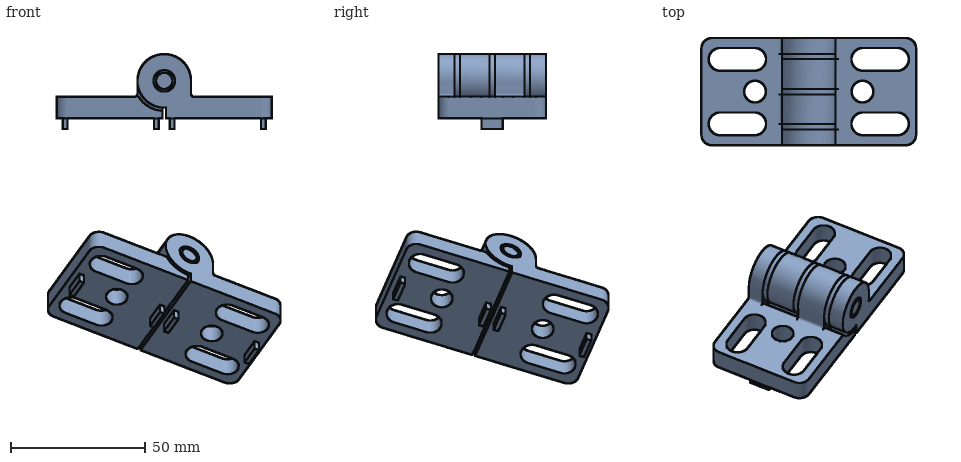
import cadquery as cq
import math

length = 80.0
width = 40.0
plate_thickness = 8.2
corner_radius = 4.0
plate_gap = 1.1

barrel_radius = 10.0
axis_z = 14.0
clearance_radius = 11.2
root_fillet = 1.0
washer_thickness = 2.0
end_knuckle_length = 5.9
mid_knuckle_length = (width - 2 * end_knuckle_length - 3 * washer_thickness) / 2

pin_radius = 4.0
pin_chamfer = 1.0

slot_length = 21.3
slot_width = 8.4
slot_x = 26.6
slot_y = 12.0
hole_radius = 4.0
hole_x = 20.0

tab_height = 4.0
tab_thickness = 1.8
tab_width = 8.0
inner_tab_x = 3.0
outer_tab_x = 36.9

front_y = -width / 2
front_knuckle_end = front_y + end_knuckle_length
middle_knuckle_start = front_knuckle_end + washer_thickness
middle_knuckle_end = middle_knuckle_start + mid_knuckle_length
far_middle_start = middle_knuckle_end + washer_thickness

knuckles = [(front_y, end_knuckle_length), (far_middle_start, mid_knuckle_length)]
washer_starts = [front_knuckle_end, middle_knuckle_end, -front_knuckle_end - washer_thickness]


def pin_axis_plane(start_y):
    """Plane across the pin axis whose extrusions run toward +Y."""
    return cq.Plane(origin=(0, start_y, axis_z), xDir=(-1, 0, 0), normal=(0, 1, 0))


def axial_cylinder(radius, start_y, cylinder_length):
    """Solid cylinder on the pin axis."""
    return cq.Workplane(pin_axis_plane(start_y)).circle(radius).extrude(cylinder_length)


def leaf_plate():
    """Flat +X plate with rounded outer corners, hollowed along the pin axis."""
    inner_x = plate_gap / 2
    plate = (
        cq.Workplane("XY")
        .box(length / 2 - inner_x, width, plate_thickness, centered=(False, True, False))
        .translate((inner_x, 0, 0))
        .edges("|Z and >X")
        .fillet(corner_radius)
    )
    return plate.cut(axial_cylinder(clearance_radius, front_y, width))


def knuckle(start_y, knuckle_length):
    """Round barrel with a flat-sided foot that flares into the plate top."""
    barrel = axial_cylinder(barrel_radius, start_y, knuckle_length)
    foot_right = barrel_radius + root_fillet
    fillet_top = plate_thickness + root_fillet
    bend_offset = root_fillet * (1 - math.sqrt(0.5))
    foot = (
        cq.Workplane("XZ", origin=(0, start_y, 0))
        .moveTo(plate_gap / 2, 0)
        .lineTo(foot_right, 0)
        .lineTo(foot_right, plate_thickness)
        .threePointArc(
            (barrel_radius + bend_offset, plate_thickness + bend_offset),
            (barrel_radius, fillet_top),
        )
        .lineTo(barrel_radius, axis_z)
        .lineTo(plate_gap / 2, axis_z)
        .close()
        .extrude(-knuckle_length)
    )
    return barrel.union(foot)


def mounting_cutters():
    """Two slots and one round hole through the +X plate."""
    slots = (
        cq.Workplane("XY")
        .pushPoints([(slot_x, -slot_y), (slot_x, slot_y)])
        .slot2D(slot_length, slot_width)
        .extrude(plate_thickness)
    )
    hole = cq.Workplane("XY").center(hole_x, 0).circle(hole_radius).extrude(plate_thickness)
    return slots.union(hole)


def locating_tabs():
    """Two rectangular tabs below the +X plate."""
    return (
        cq.Workplane("XY")
        .pushPoints([(inner_tab_x, 0), (outer_tab_x, 0)])
        .rect(tab_thickness, tab_width)
        .extrude(-tab_height)
    )


def make_leaf():
    """Complete +X leaf: plate, two knuckles, mounting holes, tabs and pin bore."""
    leaf = leaf_plate()
    for start_y, knuckle_length in knuckles:
        leaf = leaf.union(knuckle(start_y, knuckle_length))
    leaf = leaf.cut(mounting_cutters()).union(locating_tabs())
    return leaf.cut(axial_cylinder(pin_radius, front_y, width))


def make_washer(start_y):
    """Flat ring between two neighbouring knuckles."""
    ring = cq.Workplane(pin_axis_plane(start_y)).circle(barrel_radius).circle(pin_radius)
    return ring.extrude(washer_thickness)


def make_pin():
    """Full-width pin with chamfered ends."""
    return axial_cylinder(pin_radius, front_y, width).faces("<Y or >Y").chamfer(pin_chamfer)


leaves = []
for turn in (0, 180):
    leaves.append(make_leaf().rotate((0, 0, 0), (0, 0, 1), turn).val())

washers = []
for washer_start in washer_starts:
    washers.append(make_washer(washer_start).val())

pin = make_pin()

result = cq.Compound.makeCompound([*leaves, *washers, pin.val()])